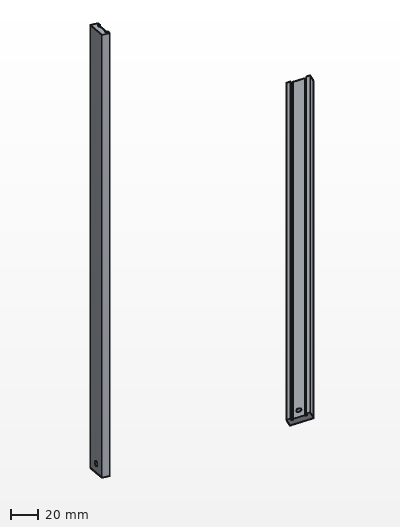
import cadquery as cq

width = 19.2
thickness = 6.5
length = 362.0

lip_width = 3.3
channel_depth = 1.0
groove_width = 1.5
groove_depth = 1.8

hole_diameter = 4.0
hole_height = 7.5

back_y = thickness / 2
channel_half_width = width / 2 - lip_width
groove_center_x = channel_half_width - groove_width / 2


def back_slot(center_x, slot_width, depth):
    """Full-length cutter sunk into the back face."""
    return (
        cq.Workplane("XY")
        .center(center_x, back_y - depth / 2)
        .rect(slot_width, depth)
        .extrude(length)
    )


bar = cq.Workplane("XY").rect(width, thickness).extrude(length)

bar = bar.cut(back_slot(0, 2 * channel_half_width, channel_depth))
for side in (-1, 1):
    bar = bar.cut(back_slot(side * groove_center_x, groove_width, groove_depth))

hole = (
    cq.Workplane("XZ", origin=(0, back_y, 0))
    .center(0, hole_height)
    .circle(hole_diameter / 2)
    .extrude(thickness)
)

result = bar.cut(hole)